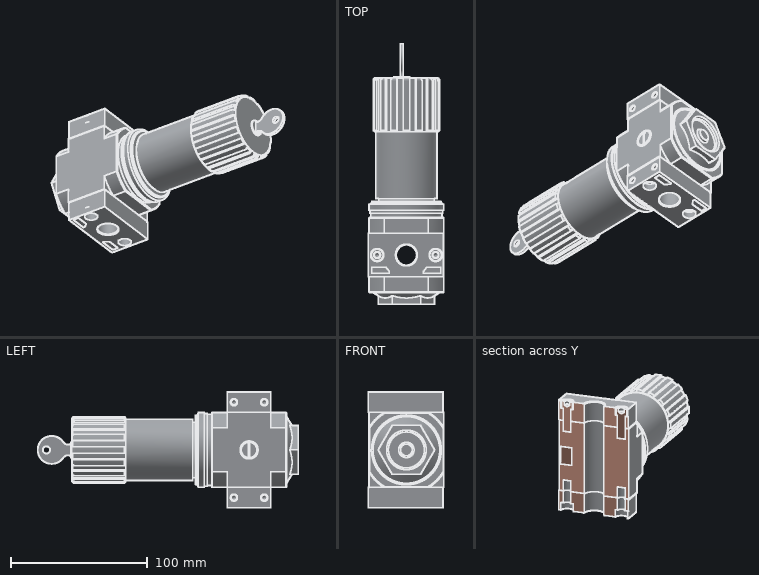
import cadquery as cq
import math


BODY_SIZE = 55.0
HALF_BODY = BODY_SIZE / 2
BODY_CORNER_RADIUS = 31.9
BODY_EDGE_CHAMFER = 0.5

COLLAR_ROOT_RADIUS = 26.2
COLLAR_STEP_RADIUS = 26.7
COLLAR_RADIUS = HALF_BODY
WASHER_RADIUS = 25.5
NECK_RADIUS = 20.5
COLLAR_ROOT_TOP = 30.5
COLLAR_BOTTOM = 32.7
COLLAR_TOP = 37.0
WASHER_BOTTOM = 38.0
WASHER_TOP = 39.5
WASHER_CHAMFER = 0.5
SLEEVE_BOTTOM = 41.3

SLEEVE_RADIUS = 22.5
KNOB_BOTTOM = 90.2
KNOB_TOP = 129.9
KNOB_RADIUS = 24.5
KNOB_FLOOR_RADIUS = 23.0
KNOB_RIB_COUNT = 16
KNOB_RIB_WIDTH = 4.5
KNOB_TOP_ROUND = 2.3
KNOB_BOTTOM_BEVEL = 1.1
KNOB_CORE_CHAMFER = 0.5

LOCK_X = -3.5
LOCK_DIAMETER = 11.5
LOCK_TOP = 130.6
KEY_THICKNESS = 2.3
KEY_TIP = 154.9
KEY_HEAD_RADIUS = 10.3
KEY_HEAD_CENTRE = KEY_TIP - KEY_HEAD_RADIUS
KEY_HEAD_END = 136.0
KEY_NECK_PLACE = 132.5
KEY_NECK_HALF_WIDTH = 4.0
KEY_FOOT_HALF_WIDTH = 4.5
KEY_HOLE_DIAMETER = 5.2
KEY_HOLE_PLACE = 148.5

PLATE_SHIFT = -0.5
PLATE_WIDTH = 32.0
OVERALL_HEIGHT = 85.0
PLATE_TOP = OVERALL_HEIGHT / 2
PLATE_HEIGHT = PLATE_TOP - HALF_BODY
PORT_DIAMETER = 14.9
PORT_MOUTH_DIAMETER = 16.0
PIN_HOLE_DIAMETER = 4.2
PIN_HOLE_MOUTH = 5.2
PIN_HOLE_DEPTH = 5.7
PIN_HOLE_Y = 11.0
PIN_HOLE_Z = 35.0
DRILL_POINT_ANGLE = 118
LABEL_INNER = 12.5
LABEL_SLANT = 2.7
LABEL_OUTER = 25.2
LABEL_TOP = -8.8
LABEL_BOTTOM = -13.4
LABEL_DEPTH = 0.2

SCREW_X = 21.4
SCREW_HEAD_DIAMETER = 8.5
SCREW_HEAD_HEIGHT = 5.7
SCREW_RECESS_DIAMETER = 9.5
SCREW_SHANK_DIAMETER = 5.7
SCREW_SOCKET_DIAMETER = 4.2
SCREW_SOCKET_MOUTH = 5.0
SCREW_SOCKET_DEPTH = 2.9
SCREW_BOTTOM = 19.1

CAP_BOTTOM = -36.1
CAP_RADIUS = 24.5
CAP_SEAT = -23.0
CAP_GROOVE_RADIUS = 25.5
CAP_GROOVE_DEPTH = 1.0
CAP_CONE_SLOPE = 0.62
CAP_HEX_FLATS = 36.0
CAP_HEX_CORNERS = CAP_HEX_FLATS / math.cos(math.pi / 6)
CAP_RECESS_DIAMETER = 26.4
CAP_RECESS_MOUTH = 29.0
CAP_RECESS_DEPTH = 3.2
CAP_BOSS_DIAMETER = 11.3
CAP_BOSS_TIP_DIAMETER = 8.5
CAP_BOSS_HEIGHT = 2.0

PLUG_DIAMETER = 13.2
PLUG_FACE_DIAMETER = 11.5
PLUG_BEVEL = 0.5
PLUG_LENGTH = 9.5
PLUG_SLOT_LENGTH = 10.5
PLUG_SLOT_WIDTH = 1.0
PLUG_SLOT_DEPTH = 1.0


def turned(profile):
    """Solid of revolution about Y from (radius, y) points."""
    return cq.Workplane("XY").polyline(profile).close().revolve(360, (0, 0, 0), (0, 1, 0))


def rod(diameter, start, direction, length):
    """Plain cylinder."""
    return cq.Workplane(obj=cq.Solid.makeCylinder(
        diameter / 2, length, cq.Vector(*start), cq.Vector(*direction)))


def taper(start_diameter, end_diameter, start, direction, length):
    """Truncated or pointed cone."""
    return cq.Workplane(obj=cq.Solid.makeCone(
        start_diameter / 2, end_diameter / 2, length, cq.Vector(*start), cq.Vector(*direction)))


def drilling(diameter, mouth, start, direction, depth):
    """Blind drilled hole with a 45 degree mouth chamfer and a conical end."""
    bevel = (mouth - diameter) / 2
    point = diameter / 2 / math.tan(math.radians(DRILL_POINT_ANGLE / 2))
    end = cq.Vector(*start) + cq.Vector(*direction) * depth
    hole = rod(diameter, start, direction, depth)
    hole = hole.union(taper(mouth, diameter, start, direction, bevel))
    return hole.union(taper(diameter, 0, end.toTuple(), direction, point))


def make_screw():
    """Plate screw with a round socket; its head is flush with the plate."""
    head = rod(SCREW_HEAD_DIAMETER, (SCREW_X, 0, PLATE_TOP), (0, 0, -1), SCREW_HEAD_HEIGHT)
    shank = rod(SCREW_SHANK_DIAMETER, (SCREW_X, 0, SCREW_BOTTOM), (0, 0, 1), PLATE_TOP - SCREW_BOTTOM)
    socket = drilling(SCREW_SOCKET_DIAMETER, SCREW_SOCKET_MOUTH,
                      (SCREW_X, 0, PLATE_TOP), (0, 0, -1), SCREW_SOCKET_DEPTH)
    return head.union(shank).cut(socket)


def make_screw_hole():
    """Counterbored hole for one plate screw."""
    recess = rod(SCREW_RECESS_DIAMETER, (SCREW_X, 0, PLATE_TOP), (0, 0, -1), SCREW_HEAD_HEIGHT)
    bore = rod(SCREW_SHANK_DIAMETER, (SCREW_X, 0, SCREW_BOTTOM), (0, 0, 1), PLATE_TOP - SCREW_BOTTOM)
    return recess.union(bore)


def make_plate():
    """Upper port plate."""
    plate = (cq.Workplane("XY").workplane(offset=HALF_BODY).center(PLATE_SHIFT, 0)
             .rect(BODY_SIZE, PLATE_WIDTH).extrude(PLATE_HEIGHT))
    port = rod(PORT_DIAMETER, (0, 0, 0), (0, 0, 1), PLATE_TOP)
    mouth = taper(PORT_MOUTH_DIAMETER, PORT_DIAMETER, (0, 0, PLATE_TOP), (0, 0, -1),
                  (PORT_MOUTH_DIAMETER - PORT_DIAMETER) / 2)
    plate = plate.cut(port).cut(mouth)

    screw_hole = make_screw_hole()
    label = (cq.Workplane("XY").workplane(offset=PLATE_TOP)
             .polyline([(LABEL_INNER, LABEL_BOTTOM), (LABEL_OUTER, LABEL_BOTTOM),
                        (LABEL_OUTER, LABEL_TOP), (LABEL_INNER + LABEL_SLANT, LABEL_TOP),
                        (LABEL_INNER, LABEL_BOTTOM + LABEL_SLANT / 2)])
             .close().extrude(-LABEL_DEPTH))
    for feature in (screw_hole, label):
        plate = plate.cut(feature).cut(feature.mirror("YZ"))

    for y in (-PIN_HOLE_Y, PIN_HOLE_Y):
        plate = plate.cut(drilling(PIN_HOLE_DIAMETER, PIN_HOLE_MOUTH,
                                   (PLATE_SHIFT - HALF_BODY, y, PIN_HOLE_Z), (1, 0, 0), PIN_HOLE_DEPTH))
    return plate


def make_body():
    """Square block with turned corners at both ends, collar, bores and recesses."""
    bevel_radius = BODY_CORNER_RADIUS - BODY_EDGE_CHAMFER
    bevel_place = HALF_BODY - BODY_EDGE_CHAMFER
    block = cq.Workplane("XY").box(BODY_SIZE, BODY_SIZE, BODY_SIZE)
    block = block.faces("<Y or >Y").chamfer(BODY_EDGE_CHAMFER)
    corners = turned([(0, -HALF_BODY), (bevel_radius, -HALF_BODY), (BODY_CORNER_RADIUS, -bevel_place),
                      (BODY_CORNER_RADIUS, bevel_place), (bevel_radius, HALF_BODY), (0, HALF_BODY)])
    middle = cq.Workplane("XY").box(BODY_SIZE, PLATE_WIDTH, BODY_SIZE)
    collar = turned([(0, HALF_BODY), (COLLAR_ROOT_RADIUS, HALF_BODY),
                     (COLLAR_ROOT_RADIUS, COLLAR_ROOT_TOP), (COLLAR_STEP_RADIUS, COLLAR_ROOT_TOP),
                     (COLLAR_STEP_RADIUS, COLLAR_BOTTOM), (COLLAR_RADIUS, COLLAR_BOTTOM),
                     (COLLAR_RADIUS, COLLAR_TOP), (WASHER_RADIUS, WASHER_BOTTOM),
                     (WASHER_RADIUS, WASHER_TOP - WASHER_CHAMFER),
                     (WASHER_RADIUS - WASHER_CHAMFER, WASHER_TOP), (NECK_RADIUS, WASHER_TOP),
                     (NECK_RADIUS, SLEEVE_BOTTOM), (0, SLEEVE_BOTTOM)])
    body = block.intersect(corners).union(middle).union(collar)

    port = rod(PORT_DIAMETER, (0, 0, -HALF_BODY), (0, 0, 1), BODY_SIZE)
    cap_seat = rod(2 * CAP_RADIUS, (0, -HALF_BODY, 0), (0, 1, 0), HALF_BODY + CAP_SEAT)
    cap_groove = rod(2 * CAP_GROOVE_RADIUS, (0, -HALF_BODY, 0), (0, 1, 0), CAP_GROOVE_DEPTH)
    plug_hole = rod(PLUG_DIAMETER, (-HALF_BODY, 0, 0), (1, 0, 0), PLUG_LENGTH)
    body = body.cut(port).cut(cap_seat).cut(cap_groove).cut(plug_hole)

    upper_hole = make_screw_hole()
    for hole in (upper_hole, upper_hole.mirror("XY")):
        body = body.cut(hole).cut(hole.mirror("YZ"))
    return body


def make_sleeve():
    """Cylindrical spring housing between the collar and the knob."""
    return rod(2 * SLEEVE_RADIUS, (0, SLEEVE_BOTTOM, 0), (0, 1, 0), KNOB_BOTTOM - SLEEVE_BOTTOM)


def make_knob():
    """Ribbed adjusting knob with the lock cylinder in its top face."""
    core = rod(2 * KNOB_FLOOR_RADIUS, (0, KNOB_BOTTOM, 0), (0, 1, 0), KNOB_TOP - KNOB_BOTTOM)
    core = core.faces(">Y").chamfer(KNOB_CORE_CHAMFER)
    round_centre = (KNOB_RADIUS - KNOB_TOP_ROUND, KNOB_TOP - KNOB_TOP_ROUND)
    round_reach = KNOB_TOP_ROUND * math.sin(math.pi / 4)
    envelope = (cq.Workplane("XY").moveTo(0, KNOB_BOTTOM).lineTo(KNOB_FLOOR_RADIUS, KNOB_BOTTOM)
                .lineTo(KNOB_RADIUS, KNOB_BOTTOM + KNOB_BOTTOM_BEVEL)
                .lineTo(KNOB_RADIUS, round_centre[1])
                .threePointArc((round_centre[0] + round_reach, round_centre[1] + round_reach),
                               (round_centre[0], KNOB_TOP))
                .lineTo(0, KNOB_TOP).close().revolve(360, (0, 0, 0), (0, 1, 0)))
    bar = (cq.Workplane("XZ", origin=(0, KNOB_BOTTOM, 0))
           .rect(2 * KNOB_RADIUS, KNOB_RIB_WIDTH).extrude(KNOB_BOTTOM - KNOB_TOP))
    knob = core
    for index in range(KNOB_RIB_COUNT // 2):
        angle = index * 360 / KNOB_RIB_COUNT
        knob = knob.union(bar.rotate((0, 0, 0), (0, 1, 0), angle).intersect(envelope))
    lock = rod(LOCK_DIAMETER, (LOCK_X, KNOB_TOP, 0), (0, 1, 0), LOCK_TOP - KNOB_TOP)
    return knob.union(lock)


def make_key():
    """Flat key with a round holed head, standing on the lock."""
    rise = KEY_HEAD_END - KEY_HEAD_CENTRE
    shoulder = math.sqrt(KEY_HEAD_RADIUS ** 2 - rise ** 2)
    foot = (LOCK_TOP, KEY_FOOT_HALF_WIDTH)
    neck = (KEY_NECK_PLACE, KEY_NECK_HALF_WIDTH)
    joint = (KEY_HEAD_END, shoulder)
    key = (cq.Workplane("YZ", origin=(LOCK_X - KEY_THICKNESS / 2, 0, 0))
           .moveTo(*foot).threePointArc(neck, joint)
           .threePointArc((KEY_TIP, 0), (joint[0], -joint[1]))
           .threePointArc((neck[0], -neck[1]), (foot[0], -foot[1]))
           .close().extrude(KEY_THICKNESS))
    hole = rod(KEY_HOLE_DIAMETER, (LOCK_X - KEY_THICKNESS / 2, KEY_HOLE_PLACE, 0), (1, 0, 0), KEY_THICKNESS)
    return key.cut(hole)


def make_cap():
    """Conical bottom cap with a hexagon head, a dished face and a centre boss."""
    tip = -HALF_BODY - CAP_CONE_SLOPE * CAP_RADIUS
    cone = turned([(0, CAP_SEAT), (CAP_RADIUS, CAP_SEAT), (CAP_RADIUS, -HALF_BODY), (0, tip)])
    cone = cone.intersect(rod(2 * CAP_RADIUS, (0, CAP_BOTTOM, 0), (0, 1, 0), CAP_SEAT - CAP_BOTTOM))
    hexagon = (cq.Workplane("XZ", origin=(0, -HALF_BODY, 0))
               .polygon(6, CAP_HEX_CORNERS).extrude(-HALF_BODY - CAP_BOTTOM))
    recess = rod(CAP_RECESS_DIAMETER, (0, CAP_BOTTOM, 0), (0, 1, 0), CAP_RECESS_DEPTH)
    mouth = taper(CAP_RECESS_MOUTH, CAP_RECESS_DIAMETER, (0, CAP_BOTTOM, 0), (0, 1, 0),
                  (CAP_RECESS_MOUTH - CAP_RECESS_DIAMETER) / 2)
    boss = taper(CAP_BOSS_DIAMETER, CAP_BOSS_TIP_DIAMETER, (0, CAP_BOTTOM + CAP_RECESS_DEPTH, 0), (0, -1, 0),
                 CAP_BOSS_HEIGHT)
    return cone.union(hexagon).cut(recess).cut(mouth).union(boss)


def make_plug():
    """Slotted plug, flush with the -X side of the body."""
    plug = rod(PLUG_DIAMETER, (PLUG_BEVEL - HALF_BODY, 0, 0), (1, 0, 0), PLUG_LENGTH - PLUG_BEVEL)
    face = taper(PLUG_FACE_DIAMETER, PLUG_DIAMETER, (-HALF_BODY, 0, 0), (1, 0, 0), PLUG_BEVEL)
    slot = (cq.Workplane("YZ", origin=(-HALF_BODY, 0, 0))
            .rect(PLUG_SLOT_WIDTH, PLUG_SLOT_LENGTH).extrude(PLUG_SLOT_DEPTH))
    return plug.union(face).cut(slot)


body = make_body()
sleeve = make_sleeve()
knob = make_knob()
key = make_key()
cap = make_cap()
plug = make_plug()
upper_plate = make_plate()
plates = [upper_plate, upper_plate.mirror("XY")]
right_screw = make_screw()
screws = [right_screw, right_screw.mirror("YZ")]

bodies = [body, sleeve, knob, key, cap, plug] + plates + screws
result = cq.Compound.makeCompound([part.val() for part in bodies])